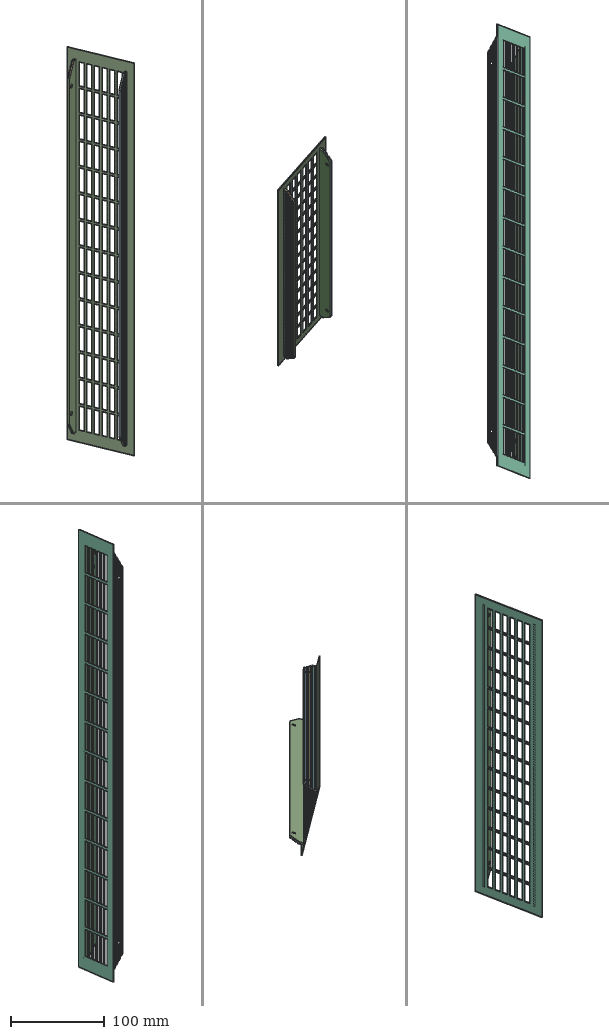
import cadquery as cq

plate_width = 80.0
plate_height = 480.0
plate_thickness = 1.2

slot_columns = 6
slot_rows = 14
web = 3.0
grid_width = 51.0
grid_height = 450.0
slot_width = (grid_width - (slot_columns - 1) * web) / slot_columns
slot_height = (grid_height - (slot_rows - 1) * web) / slot_rows

flange_depth = 15.0
flange_thickness = 3.0
flange_height = 456.0
flange_outer_spacing = 64.5
end_slope_depth = 10.0
end_slope_height = 16.5

groove_count = 5
groove_depth = 1.0
groove_pitch = flange_depth / groove_count
ridge_width = groove_pitch / 2

hole_diameter = 4.0
hole_end_distance = 40.0
hole_tip_distance = 4.5

total_depth = plate_thickness + flange_depth
back = total_depth / 2
front = back - plate_thickness
tip = front - flange_depth


def make_plate():
    blank = (
        cq.Workplane("XY")
        .box(plate_width, plate_thickness, plate_height)
        .translate((0, (front + back) / 2, 0))
    )
    slots = (
        cq.Workplane("XZ")
        .rarray(slot_width + web, slot_height + web, slot_columns, slot_rows)
        .rect(slot_width, slot_height)
        .extrude(total_depth, both=True)
    )
    return blank.cut(slots)


def make_grooved_bar():
    """Straight bar on the +X side with alternating ridges and grooves on its outer face."""
    outer = flange_outer_spacing / 2
    inner = outer - flange_thickness
    groove_floor = outer - groove_depth
    section = [(inner, front), (inner, tip)]
    for i in range(groove_count):
        ridge_start = tip + i * groove_pitch
        ridge_end = ridge_start + ridge_width
        groove_end = ridge_start + groove_pitch
        section += [
            (outer, ridge_start),
            (outer, ridge_end),
            (groove_floor, ridge_end),
            (groove_floor, groove_end),
        ]
    return cq.Workplane("XY").polyline(section).close().extrude(flange_height / 2, both=True)


def make_end_cut():
    """Wedge that slopes the upper end of the flange toward its tip."""
    top = flange_height / 2
    outline = [(tip + end_slope_depth, top), (tip, top), (tip, top - end_slope_height)]
    return cq.Workplane("YZ").polyline(outline).close().extrude(plate_width)


def make_cross_holes():
    hole_y = tip + hole_tip_distance
    hole_z = plate_height / 2 - hole_end_distance
    return (
        cq.Workplane("YZ")
        .pushPoints([(hole_y, -hole_z), (hole_y, hole_z)])
        .circle(hole_diameter / 2)
        .extrude(plate_width)
    )


def make_flange():
    end_cut = make_end_cut()
    return make_grooved_bar().cut(end_cut).cut(end_cut.mirror("XY")).cut(make_cross_holes())


flange = make_flange()
result = make_plate().union(flange).union(flange.mirror("YZ"))